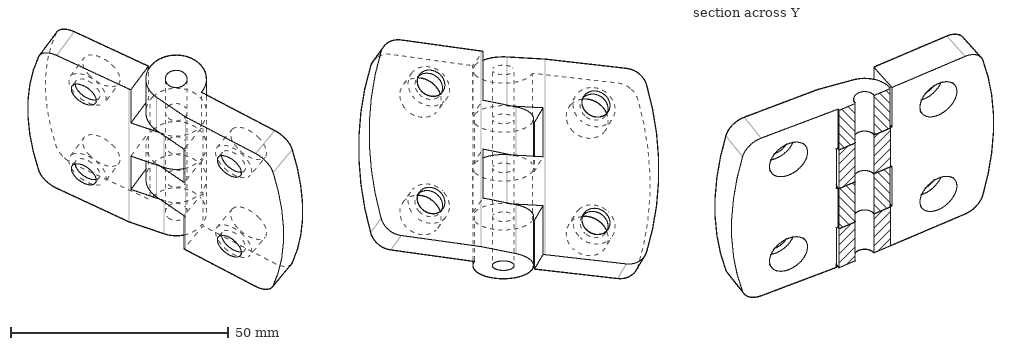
import cadquery as cq
import math

OVERALL_LENGTH = 69.7
OPEN_ANGLE = 3.0
LEAF_REACH = OVERALL_LENGTH / (1 + math.cos(math.radians(OPEN_ANGLE)))
LEAF_HEIGHT = 50.0
LEAF_THICKNESS = 8.0
OUTER_EDGE_RADIUS = 80.0
CORNER_RADIUS = 5.0
PLATE_INNER_X = 7.4

KNUCKLE_COUNT = 4
KNUCKLE_RADIUS = 7.0
PIN_HOLE_DIAMETER = 5.0
WEB_START_X = 7.9
KNUCKLE_HEIGHT = LEAF_HEIGHT / KNUCKLE_COUNT

HOLE_X = 19.95
HOLE_Z = 15.0
HOLE_DIAMETER = 6.6
COUNTERBORE_DIAMETER = 10.0
FRONT_LIP = 1.75
COUNTERBORE_DEPTH = LEAF_THICKNESS - FRONT_LIP


def make_plate():
    """Plate on the -X side with a bowed outer edge and rounded outer corners."""
    half_height = LEAF_HEIGHT / 2
    bow = OUTER_EDGE_RADIUS - math.sqrt(OUTER_EDGE_RADIUS**2 - half_height**2)
    corner_x = -LEAF_REACH + bow
    plate = (
        cq.Workplane("XZ")
        .moveTo(-PLATE_INNER_X, -half_height)
        .lineTo(corner_x, -half_height)
        .threePointArc((-LEAF_REACH, 0), (corner_x, half_height))
        .lineTo(-PLATE_INNER_X, half_height)
        .close()
        .extrude(LEAF_THICKNESS)
    )
    outer_corners = plate.edges("|Y").edges(cq.selectors.BoxSelector(
        (-LEAF_REACH, -LEAF_THICKNESS, -LEAF_HEIGHT),
        (-HOLE_X, 0, LEAF_HEIGHT),
    )).edges("%LINE")
    return outer_corners.fillet(CORNER_RADIUS)


def make_web_bevel():
    """Wedge removed from the inner front edge of the plate, along the slope of the webs."""
    tangent_x, tangent_y = web_tangent_point()
    return (
        cq.Workplane("XY")
        .workplane(offset=-LEAF_HEIGHT / 2)
        .polyline([
            (-WEB_START_X, -LEAF_THICKNESS),
            (tangent_x, tangent_y),
            (tangent_x, -LEAF_THICKNESS),
        ])
        .close()
        .extrude(LEAF_HEIGHT)
    )


def web_tangent_point():
    """Point where a line from the front of the plate touches the knuckle cylinder."""
    distance = math.hypot(WEB_START_X, LEAF_THICKNESS)
    start_angle = math.atan2(-LEAF_THICKNESS, -WEB_START_X)
    tangent_angle = start_angle + math.acos(KNUCKLE_RADIUS / distance)
    return KNUCKLE_RADIUS * math.cos(tangent_angle), KNUCKLE_RADIUS * math.sin(tangent_angle)


def make_knuckle(index):
    """Barrel and its web to the plate; index 0 is the lowest knuckle."""
    bottom = -LEAF_HEIGHT / 2 + index * KNUCKLE_HEIGHT
    base = cq.Workplane("XY").workplane(offset=bottom)
    barrel = base.circle(KNUCKLE_RADIUS).extrude(KNUCKLE_HEIGHT)
    web = (
        base.polyline([
            (-WEB_START_X, 0),
            (-WEB_START_X, -LEAF_THICKNESS),
            web_tangent_point(),
            (0, 0),
        ])
        .close()
        .extrude(KNUCKLE_HEIGHT)
    )
    return barrel.union(web)


def cut_mounting_holes(leaf):
    """Through holes with counterbores opening at the back of the plate."""
    hole_points = [(-HOLE_X, -HOLE_Z), (-HOLE_X, HOLE_Z)]
    holes = cq.Workplane("XZ").pushPoints(hole_points).circle(HOLE_DIAMETER / 2).extrude(LEAF_THICKNESS)
    counterbores = (
        cq.Workplane("XZ").pushPoints(hole_points).circle(COUNTERBORE_DIAMETER / 2).extrude(COUNTERBORE_DEPTH)
    )
    return leaf.cut(holes).cut(counterbores)


def make_leaf():
    """Complete leaf on the -X side, carrying every second knuckle from the bottom."""
    leaf = make_plate().cut(make_web_bevel())
    for index in range(0, KNUCKLE_COUNT, 2):
        leaf = leaf.union(make_knuckle(index))
    pin_hole = cq.Workplane("XY").circle(PIN_HOLE_DIAMETER / 2).extrude(LEAF_HEIGHT / 2, both=True)
    return cut_mounting_holes(leaf.cut(pin_hole))


left_leaf = make_leaf()
right_leaf = (
    make_leaf()
    .rotate((0, 0, 0), (0, 1, 0), 180)
    .rotate((0, 0, 0), (0, 0, 1), -OPEN_ANGLE)
)

result = cq.Compound.makeCompound([left_leaf.solids().val(), right_leaf.solids().val()])